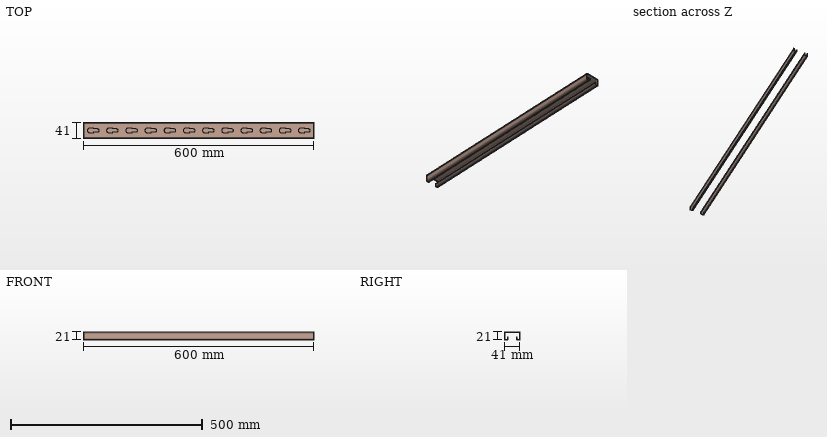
import cadquery as cq

length = 600.0
width = 41.0
height = 21.0

thickness = 1.5
bend_radius = 2.5
flange_width = 9.0
lip_height = 8.5

keyhole_count = 12
keyhole_pitch = length / keyhole_count
keyhole_length = 30.0
wide_length = 15.5
wide_width = 13.0
narrow_width = 9.0
keyhole_depth = 0.1


def rounded_bar(bar_width, bar_height, corner_radius):
    """Full-length rectangular bar with its four long edges rounded."""
    return cq.Workplane("XY").box(length, bar_width, bar_height).edges("|X").fillet(corner_radius)


def rounded_tube(tube_width, tube_height):
    """Full-length closed tube of bent sheet."""
    outside = rounded_bar(tube_width, tube_height, bend_radius)
    inside = rounded_bar(
        tube_width - 2 * thickness,
        tube_height - 2 * thickness,
        bend_radius - thickness,
    )
    return outside.cut(inside)


def make_lip(side):
    """Lower edge of one side: flange and upturned lip, the lower half of a narrow tube."""
    tube = rounded_tube(flange_width, 2 * lip_height)
    upper_half = cq.Workplane("XY").box(length, flange_width, lip_height)
    trough = tube.cut(upper_half.translate((0, 0, lip_height / 2)))
    return trough.translate((0, side * (width - flange_width) / 2, lip_height - height / 2))


def make_channel():
    """Web and side walls of a full tube, closed below by the two lips."""
    lower_part = cq.Workplane("XY").box(length, width, lip_height)
    channel = rounded_tube(width, height).cut(lower_part.translate((0, 0, (lip_height - height) / 2)))
    for side in (-1, 1):
        channel = channel.union(make_lip(side))
    return channel


def keyhole(center_x):
    """Cutter for one keyhole recess in the top face, wide end toward -X."""
    left = center_x - keyhole_length / 2
    right = center_x + keyhole_length / 2
    step = left + wide_length
    wide_half = wide_width / 2
    narrow_half = narrow_width / 2
    return (
        cq.Workplane("XY", origin=(0, 0, height / 2 - keyhole_depth))
        .moveTo(left + wide_half, -wide_half)
        .lineTo(step, -wide_half)
        .lineTo(step, -narrow_half)
        .lineTo(right - narrow_half, -narrow_half)
        .threePointArc((right, 0), (right - narrow_half, narrow_half))
        .lineTo(step, narrow_half)
        .lineTo(step, wide_half)
        .lineTo(left + wide_half, wide_half)
        .threePointArc((left, 0), (left + wide_half, -wide_half))
        .close()
        .extrude(keyhole_depth)
    )


result = make_channel()
for index in range(keyhole_count):
    result = result.cut(keyhole((index + 0.5) * keyhole_pitch - length / 2))